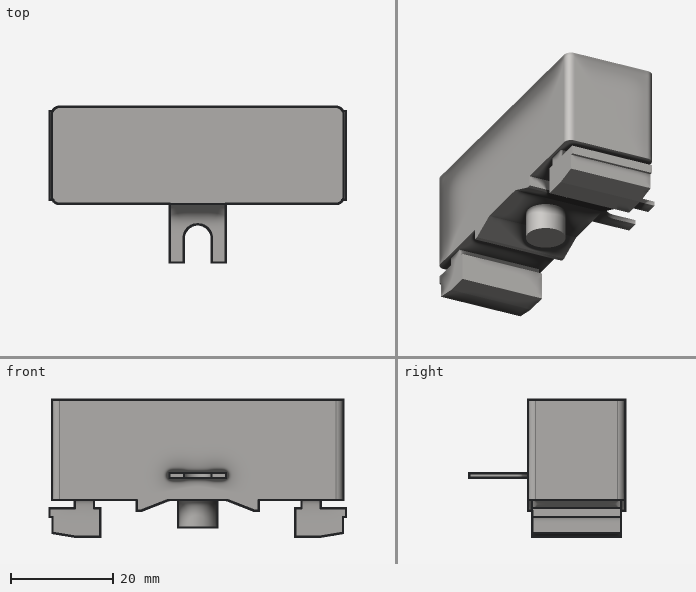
import cadquery as cq

overall_length = 58.15
overall_depth = 30.6
overall_height = 26.9

foot_width = 17.45
foot_length = 10.0
foot_drop = 7.2
foot_gap = 1.55
stem_start = 4.95
stem_end = 8.8
lip_length = 0.6
lip_bottom = 3.3
slope_start_drop = 6.45
slope_length = 5.1

body_inset = 0.45
body_length = overall_length - 2 * body_inset
body_depth = 19.1
body_height = overall_height - foot_drop
corner_radius = 1.5

wedge_outer = 12.0
wedge_flat_end = 11.05
wedge_inner = 5.7
wedge_drop = 2.1

post_radius = 3.9
post_length = 5.4

tab_width = 11.05
tab_length = overall_depth - body_depth
tab_bottom = 4.35
tab_thickness = 0.95
slot_width = 5.45
slot_length = 7.5


def extrude_profile(points, depth):
    """Extrude an XZ outline, centred on Y."""
    return cq.Workplane("XZ").polyline(points).close().extrude(depth / 2, both=True)


def make_body():
    body = cq.Workplane("XY").rect(body_length, body_depth).extrude(body_height)
    return body.edges("|Z").fillet(corner_radius)


def make_foot(side):
    """Make the stemmed foot at the -X (side=-1) or +X (side=1) end."""
    outline = [
        (stem_start, 0),
        (stem_start, foot_gap),
        (0, foot_gap),
        (0, lip_bottom),
        (lip_length, lip_bottom),
        (lip_length, slope_start_drop),
        (slope_length, foot_drop),
        (foot_length, foot_drop),
        (foot_length, foot_gap),
        (stem_end, foot_gap),
        (stem_end, 0),
    ]
    points = [(side * (overall_length / 2 - inward), -drop) for inward, drop in outline]
    return extrude_profile(points, foot_width)


def make_wedge(side):
    """Make the sloping wedge on the -X or +X side of the post."""
    points = [
        (side * wedge_outer, 0),
        (side * wedge_outer, -wedge_drop),
        (side * wedge_flat_end, -wedge_drop),
        (side * wedge_inner, 0),
    ]
    return extrude_profile(points, body_depth)


def make_post():
    return cq.Workplane("XY").circle(post_radius).extrude(-post_length)


def make_tab():
    """Make the flat tab with a round-ended slot open towards -Y."""
    body_front = -body_depth / 2
    tab_end = body_front - tab_length
    slot_radius = slot_width / 2
    slot_top = tab_end + slot_length
    arc_start = slot_top - slot_radius
    return (
        cq.Workplane("XY", origin=(0, 0, tab_bottom))
        .moveTo(-tab_width / 2, body_front)
        .lineTo(-tab_width / 2, tab_end)
        .lineTo(-slot_radius, tab_end)
        .lineTo(-slot_radius, arc_start)
        .threePointArc((0, slot_top), (slot_radius, arc_start))
        .lineTo(slot_radius, tab_end)
        .lineTo(tab_width / 2, tab_end)
        .lineTo(tab_width / 2, body_front)
        .close()
        .extrude(tab_thickness)
    )


result = make_body().union(make_post()).union(make_tab())
for end in (-1, 1):
    result = result.union(make_foot(end)).union(make_wedge(end))